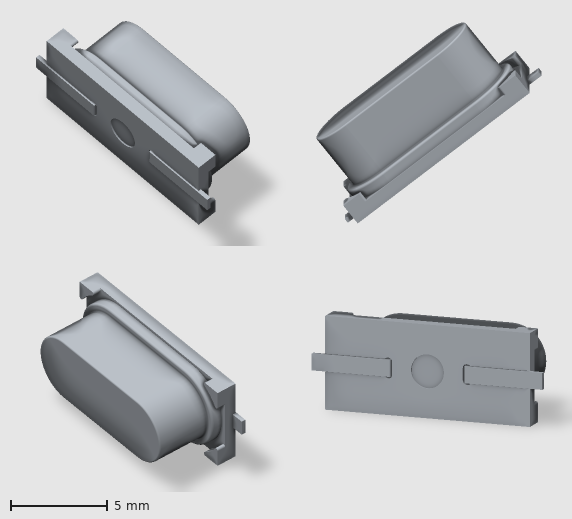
import cadquery as cq


overall_length = 12.8
lead_width = 0.9
lead_thickness = 0.24
lead_inner_x = 2.05
lead_bend_radius = 0.08
lead_protrusion = 0.08

base_length = 11.37
base_width = 5.0
base_bottom = lead_protrusion
base_top = 1.28

groove_width = 0.97
groove_end_x = 1.96
relief_width = 0.46
relief_length = 1.13
dimple_radius = 0.91
dimple_depth = 0.09

centre_distance = 6.08
overall_height = 4.55
can_radius = 1.91
can_edge_radius = 0.09
flange_radius = 2.34
flange_edge_radius = 0.12
flange_top = base_top + flange_edge_radius
flange_root_radius = 0.08

pocket_centre_distance = 6.4
pocket_radius = 2.69
pocket_floor = 0.77
post_tip_radius = 0.12


def box_between(x_min, x_max, y_min, y_max, width):
    """Box spanning the given X and Y limits, centred on Z = 0."""
    return cq.Workplane("XY").box(x_max - x_min, y_max - y_min, width).translate(
        ((x_min + x_max) / 2, (y_min + y_max) / 2, 0)
    )


def plane_at(y):
    """Horizontal sketch plane at height y whose normal points up along +Y."""
    return cq.Workplane(cq.Plane(origin=(0, y, 0), xDir=(1, 0, 0), normal=(0, 1, 0)))


def stadium(centres_apart, radius, y_min, y_max):
    """Upright stadium prism whose round ends are centred the given distance apart along X."""
    return plane_at(y_min).slot2D(centres_apart + 2 * radius, 2 * radius).extrude(y_max - y_min)


def both_ends(body):
    """The body together with its mirror image at the -X end."""
    return body.union(body.mirror("YZ"))


def make_base():
    """Rectangular base whose pocket breaks through all four sides, leaving a post at each corner."""
    base = box_between(-base_length / 2, base_length / 2, base_bottom, base_top, base_width)
    base = base.cut(stadium(pocket_centre_distance, pocket_radius, pocket_floor, base_top))
    above_floor = cq.selectors.BoxSelector(
        (-base_length, pocket_floor, -base_width),
        (base_length, base_top, base_width),
    )
    return base.edges("|Y").edges(above_floor).fillet(post_tip_radius)


def make_lead_groove():
    """Groove for the +X lead, widened by a round-ended relief at its inner end."""
    relief_x = groove_end_x + relief_width / 2
    groove = box_between(relief_x, base_length / 2, base_bottom, lead_thickness, groove_width)
    relief = (
        plane_at(base_bottom)
        .center(relief_x, 0)
        .slot2D(relief_length, relief_width, 90)
        .extrude(lead_thickness - base_bottom)
    )
    return groove.union(relief)


def make_lead():
    """Flat +X lead with its lower inner edge rounded."""
    lead = box_between(lead_inner_x, overall_length / 2, 0, lead_thickness, lead_width)
    return lead.edges("<X and <Y").fillet(lead_bend_radius)


def make_can():
    """Can standing on its flange, blended at the top edge, the flange edge and the root."""
    flange = stadium(centre_distance, flange_radius, pocket_floor, flange_top)
    flange = flange.faces(">Y").edges().fillet(flange_edge_radius)
    can = stadium(centre_distance, can_radius, flange_top, overall_height)
    can = can.faces(">Y").edges().fillet(can_edge_radius)
    foot_half_length = centre_distance / 2 + can_radius + flange_root_radius
    foot_half_width = can_radius + flange_root_radius
    can_foot = cq.selectors.BoxSelector(
        (-foot_half_length, flange_top - flange_root_radius, -foot_half_width),
        (foot_half_length, flange_top + flange_root_radius, foot_half_width),
        boundingbox=True,
    )
    return flange.union(can).edges(can_foot).fillet(flange_root_radius)


dimple = plane_at(base_bottom).circle(dimple_radius).extrude(dimple_depth)
base = make_base().cut(both_ends(make_lead_groove())).cut(dimple)
result = base.union(make_can()).union(both_ends(make_lead()))